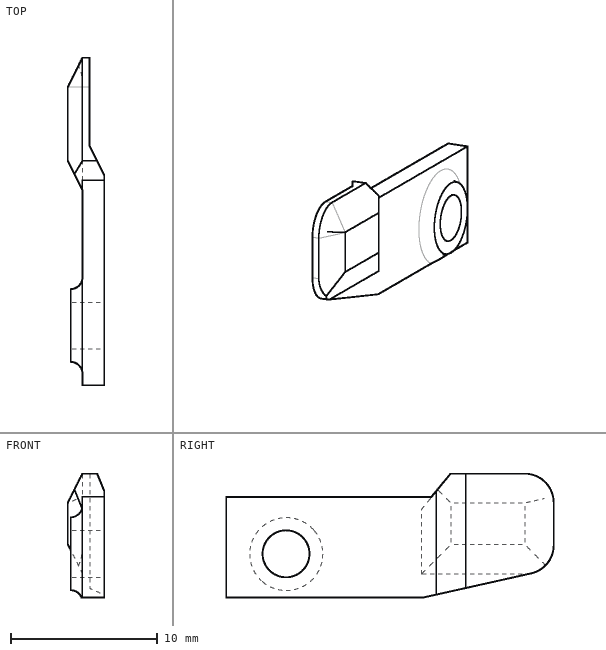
import cadquery as cq
import math

LENGTH = 22.44
THICKNESS = 1.5
PLATE_HEIGHT = 6.9
LOWER_EDGE_END = 13.5
LOWER_EDGE_ANGLE = 12.6
TIP_LOWER_RADIUS = 2.0

HEAD_TOP = 8.5
HEAD_BOTTOM = 1.65
HEAD_START = 13.37
HEAD_RISE = 1.0
BEVEL_RATIO = 2.0
BEVEL_RUN = BEVEL_RATIO * HEAD_RISE
SHOULDER_ANGLE = 50.5
SHOULDER_TOP = HEAD_START + BEVEL_RUN

RELIEF_DEPTH = 1.0
RELIEF_START = 14.4
RELIEF_RUN = BEVEL_RATIO * RELIEF_DEPTH

BOSS_Y = 4.1
BOSS_Z = 3.0
BOSS_RADIUS = 2.5
BOSS_HEIGHT = 0.8
HOLE_DIAMETER = 3.2


def outline_prism():
    """Full side outline, extruded from the head face to the plate back."""
    tip_corner_z = (LENGTH - LOWER_EDGE_END) * math.tan(math.radians(LOWER_EDGE_ANGLE))
    shoulder_run = (HEAD_TOP - PLATE_HEIGHT) / math.tan(math.radians(SHOULDER_ANGLE))
    prism = (
        cq.Workplane("YZ", origin=(-HEAD_RISE, 0, 0))
        .moveTo(0, 0)
        .lineTo(LOWER_EDGE_END, 0)
        .lineTo(LENGTH, tip_corner_z)
        .lineTo(LENGTH, HEAD_TOP - BEVEL_RUN)
        .radiusArc((LENGTH - BEVEL_RUN, HEAD_TOP), -BEVEL_RUN)
        .lineTo(SHOULDER_TOP, HEAD_TOP)
        .lineTo(SHOULDER_TOP - shoulder_run, PLATE_HEIGHT)
        .lineTo(0, PLATE_HEIGHT)
        .close()
        .extrude(HEAD_RISE + THICKNESS)
    )
    lower_tip_edge = cq.selectors.NearestToPointSelector((0, LENGTH, tip_corner_z))
    return prism.edges(lower_tip_edge).fillet(TIP_LOWER_RADIUS)


def plate():
    """Part of the outline behind the front face, relieved behind the head."""
    slab = cq.Workplane("XY").box(THICKNESS, LENGTH, HEAD_TOP, centered=False)
    relief_floor = THICKNESS - RELIEF_DEPTH
    relief = (
        cq.Workplane("XY")
        .moveTo(THICKNESS, RELIEF_START)
        .lineTo(relief_floor, RELIEF_START + RELIEF_RUN)
        .lineTo(relief_floor, LENGTH)
        .lineTo(THICKNESS, LENGTH)
        .close()
        .extrude(HEAD_TOP)
    )
    return outline_prism().intersect(slab).cut(relief)


def head():
    """Bevelled pad with a conical upper tip corner and a sloped shoulder."""
    length_profile = (
        cq.Workplane("XY")
        .moveTo(0, HEAD_START)
        .lineTo(-HEAD_RISE, HEAD_START + BEVEL_RUN)
        .lineTo(-HEAD_RISE, LENGTH - BEVEL_RUN)
        .lineTo(0, LENGTH)
        .close()
        .extrude(HEAD_TOP)
    )
    height_profile = (
        cq.Workplane("XZ")
        .moveTo(0, HEAD_BOTTOM)
        .lineTo(-HEAD_RISE, HEAD_BOTTOM + BEVEL_RUN)
        .lineTo(-HEAD_RISE, HEAD_TOP - BEVEL_RUN)
        .lineTo(0, HEAD_TOP)
        .close()
        .extrude(-LENGTH)
    )
    cone_y = LENGTH - BEVEL_RUN
    cone_z = HEAD_TOP - BEVEL_RUN
    corner_block = (
        cq.Workplane("XY", origin=(-HEAD_RISE, cone_y, cone_z))
        .box(HEAD_RISE, BEVEL_RUN, BEVEL_RUN, centered=False)
    )
    cone = cq.Workplane(
        cq.Solid.makeCone(
            BEVEL_RUN, 0, HEAD_RISE, cq.Vector(0, cone_y, cone_z), cq.Vector(-1, 0, 0)
        )
    )
    shoulder_drop = BEVEL_RUN * math.tan(math.radians(SHOULDER_ANGLE))
    shoulder = (
        cq.Workplane("YZ", origin=(-HEAD_RISE, 0, 0))
        .moveTo(HEAD_START, HEAD_TOP)
        .lineTo(SHOULDER_TOP, HEAD_TOP)
        .lineTo(HEAD_START, HEAD_TOP - shoulder_drop)
        .close()
        .extrude(HEAD_RISE)
    )
    pad = length_profile.intersect(height_profile)
    rounded_pad = pad.cut(corner_block).union(cone.intersect(corner_block))
    return rounded_pad.cut(shoulder).intersect(outline_prism())


def boss():
    """Revolved boss with a concave flare, trimmed flush with the bottom edge."""
    root_radius = BOSS_RADIUS + BOSS_HEIGHT
    flared = (
        cq.Workplane("XY", origin=(0, BOSS_Y, BOSS_Z))
        .moveTo(0, 0)
        .lineTo(0, root_radius)
        .radiusArc((-BOSS_HEIGHT, BOSS_RADIUS), BOSS_HEIGHT)
        .lineTo(-BOSS_HEIGHT, 0)
        .close()
        .revolve(360, (0, 0, 0), (1, 0, 0))
    )
    return flared.intersect(outline_prism())


def hole():
    """Cutter for the through hole along the boss axis."""
    return (
        cq.Workplane("YZ", origin=(-BOSS_HEIGHT, 0, 0))
        .center(BOSS_Y, BOSS_Z)
        .circle(HOLE_DIAMETER / 2)
        .extrude(BOSS_HEIGHT + THICKNESS)
    )


result = plate().union(head()).union(boss()).cut(hole())